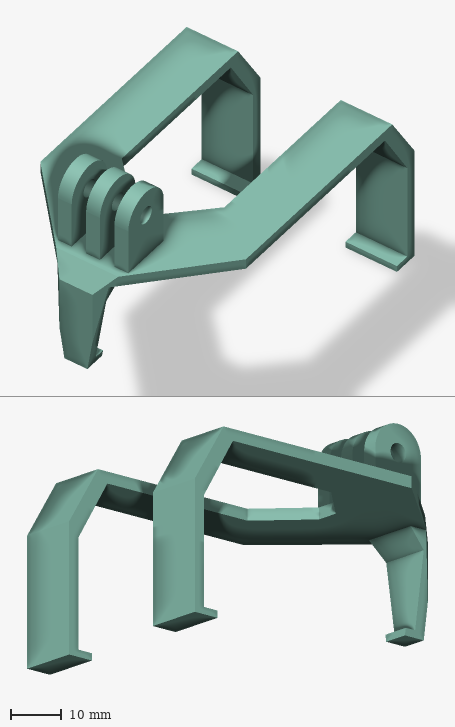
import cadquery as cq

width = 50.0
length = 80.0
plate = 2.5
lip = 1.5

leg_depth = 40.0
leg_lip_reach = 6.0
shoulder_run = 7.6
shoulder_drop = 12.4
inner_shoulder_run = 10.1
inner_shoulder_drop = 15.2

finger_depth = 24.0
finger_lip_reach = 5.0
nose_bevel = 3.8
gusset = 4.0
finger_top_half = 6.2
finger_tip_half = 2.8

nose_half = 4.0
hip_y = 22.8
slot_half = 12.5
slot_floor_half = 2.5
slot_floor_y = 23.0
slot_side_y = slot_floor_y + slot_half - slot_floor_half

lug_count = 3
lug_thickness = 3.4
lug_pitch = 6.9
lug_radius = 6.0
lug_y = 11.8
lug_height = 17.0
lug_axis_z = lug_height - lug_radius
pin_diameter = 4.0


def side_profile_body():
    """Bent strip seen from the side, extruded over the full width."""
    points = [
        (0, -nose_bevel),
        (nose_bevel, 0),
        (length - shoulder_run, 0),
        (length, -shoulder_drop),
        (length, -leg_depth),
        (length - leg_lip_reach, -leg_depth),
        (length - leg_lip_reach, lip - leg_depth),
        (length - plate, lip - leg_depth),
        (length - plate, -inner_shoulder_drop),
        (length - inner_shoulder_run, -plate),
        (plate + gusset, -plate),
        (plate, -plate - gusset),
        (plate, lip - finger_depth),
        (finger_lip_reach, lip - finger_depth),
        (finger_lip_reach, -finger_depth),
        (0, -finger_depth),
    ]
    return cq.Workplane("YZ").polyline(points).close().extrude(width / 2, both=True)


def plan_prism():
    """Forked outline seen from above, tall enough to enclose the strip."""
    right = [
        (nose_half, 0),
        (width / 2, hip_y),
        (width / 2, length),
        (slot_half, length),
        (slot_half, slot_side_y),
        (slot_floor_half, slot_floor_y),
    ]
    left = [(-x, y) for x, y in reversed(right)]
    outline = cq.Workplane("XY").workplane(offset=-leg_depth).polyline(right + left).close()
    return outline.extrude(leg_depth)


def finger_side_cutter(side):
    """Material beside the tapered finger, below the plate; side is 1 or -1."""
    points = [
        (side * finger_top_half, -plate),
        (side * width, -plate),
        (side * width, -finger_depth),
        (side * finger_tip_half, -finger_depth),
    ]
    return cq.Workplane("XZ").polyline(points).close().extrude(-hip_y)


def lug(x):
    """Round-topped hinge lug with a pin hole, centred on x and rooted in the plate."""
    return (
        cq.Workplane("YZ", origin=(x, lug_y, 0))
        .moveTo(-lug_radius, -plate / 2)
        .lineTo(-lug_radius, lug_axis_z)
        .threePointArc((0, lug_height), (lug_radius, lug_axis_z))
        .lineTo(lug_radius, -plate / 2)
        .close()
        .moveTo(0, lug_axis_z)
        .circle(pin_diameter / 2)
        .extrude(lug_thickness / 2, both=True)
    )


result = side_profile_body().intersect(plan_prism())
for side in (-1, 1):
    result = result.cut(finger_side_cutter(side))
for index in range(lug_count):
    result = result.union(lug((index - (lug_count - 1) / 2) * lug_pitch))